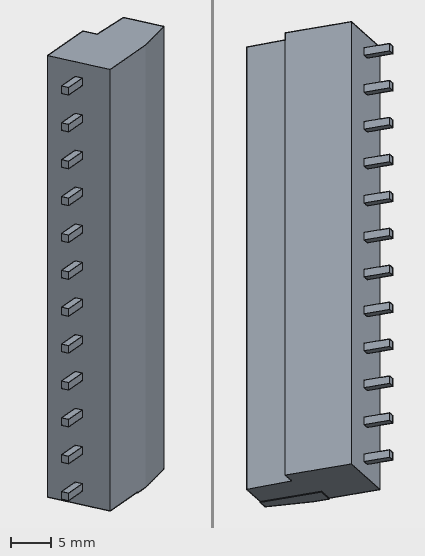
import cadquery as cq

total_height = 60.0
body_width = 9.0
total_depth = 18.7

pin_count = 12
pin_size = 1.0
pin_length = 3.5
pin_pitch = total_height / pin_count

body_depth = total_depth - pin_length
shoulder_depth = 9.0
neck_root_x = 2.05
neck_back_x = 2.3
slope_start_y = shoulder_depth
slope_back_x = 8.1

pad_height = 0.1
pad_left_x = 6.55
pad_depth = 8.35
body_height = total_height - pad_height


def profile():
    """Stepped and tapered cross-section of the housing."""
    return (
        cq.Workplane("XY")
        .moveTo(0, 0)
        .lineTo(body_width, 0)
        .lineTo(body_width, slope_start_y)
        .lineTo(slope_back_x, body_depth)
        .lineTo(neck_back_x, body_depth)
        .lineTo(neck_root_x, shoulder_depth)
        .lineTo(0, shoulder_depth)
        .close()
    )


def make_body():
    return profile().extrude(body_height).translate((0, 0, pad_height))


def make_pad():
    """Thin pad that follows the tapered right side of the housing."""
    corner = cq.Workplane("XY").box(
        body_width - pad_left_x, pad_depth, total_height, centered=False
    )
    corner = corner.translate((pad_left_x, body_depth - pad_depth, 0))
    return profile().extrude(pad_height).intersect(corner)


def make_pin(index):
    """Square pin standing out from the front face, counted from the top."""
    pin = cq.Workplane("XY").box(
        pin_size, pin_length, pin_size, centered=(True, False, True)
    )
    pin_z = total_height - (index + 0.5) * pin_pitch
    return pin.translate((body_width / 2, -pin_length, pin_z))


result = make_body().union(make_pad())
for pin_index in range(pin_count):
    result = result.union(make_pin(pin_index))